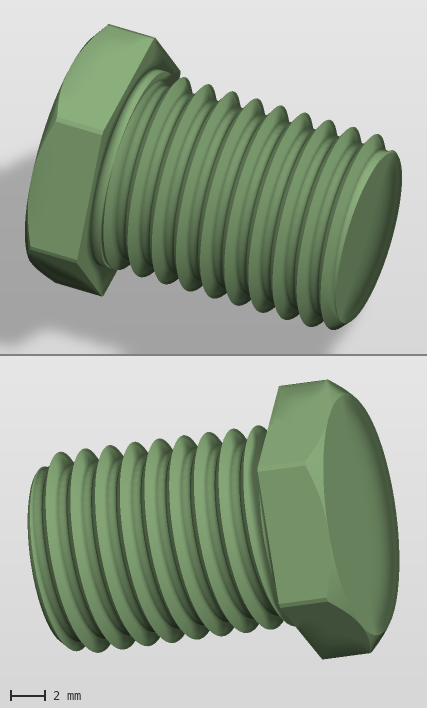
import cadquery as cq
import math

total_length = 18.57
head_thickness = 3.65
across_flats = 14.0
across_corners = 16.0
head_chamfer_length = 0.75

collar_length = 0.6
collar_diameter = 11.8
collar_end = head_thickness + collar_length

pitch = 1.5
crest_radius = collar_diameter / 2
root_radius = 5.13
ridge_base_width = 0.98
bottom_crest_x = 3.33
thread_turns = 11
root_overlap = 0.1
trim_margin = 1.0


def make_head():
    """Hexagon with corners toward +-Y, rounded and coned off at the outer face."""
    hexagon_diameter = across_flats / math.cos(math.pi / 6)
    hexagon = cq.Workplane("YZ").polygon(6, hexagon_diameter).extrude(head_thickness)
    envelope = (
        cq.Workplane("XY")
        .moveTo(0, 0)
        .lineTo(0, across_flats / 2)
        .lineTo(head_chamfer_length, across_corners / 2)
        .lineTo(head_thickness, across_corners / 2)
        .lineTo(head_thickness, 0)
        .close()
        .revolve(360, (0, 0, 0), (1, 0, 0))
    )
    return hexagon.intersect(envelope)


def make_shank():
    """Collar followed by the cylinder at the thread root."""
    collar = cq.Workplane("YZ").circle(collar_diameter / 2).extrude(collar_end)
    core = cq.Workplane("YZ").circle(root_radius).extrude(total_length)
    return collar.union(core)


def make_ridge():
    """Triangular thread ridge, trimmed at the collar and by a 45 degree cone at the free end."""
    flank_slope = (ridge_base_width / 2) / (crest_radius - root_radius)
    inner_radius = root_radius - root_overlap
    inner_half_width = ridge_base_width / 2 + root_overlap * flank_slope
    helix = cq.Wire.makeHelix(pitch, thread_turns * pitch, root_radius)
    ridge = (
        cq.Workplane("XZ")
        .moveTo(inner_radius, -inner_half_width)
        .lineTo(crest_radius, 0)
        .lineTo(inner_radius, inner_half_width)
        .close()
        .sweep(cq.Workplane(helix), isFrenet=True)
        .rotate((0, 0, 0), (0, 1, 0), 90)
        .translate((bottom_crest_x, 0, 0))
    )
    trim_radius = crest_radius + trim_margin
    trim = (
        cq.Workplane("XY")
        .moveTo(collar_end, 0)
        .lineTo(collar_end, trim_radius)
        .lineTo(total_length - (trim_radius - root_radius), trim_radius)
        .lineTo(total_length, root_radius)
        .lineTo(total_length, 0)
        .close()
        .revolve(360, (0, 0, 0), (1, 0, 0))
    )
    return ridge.intersect(trim)


result = make_head().union(make_shank()).union(make_ridge())